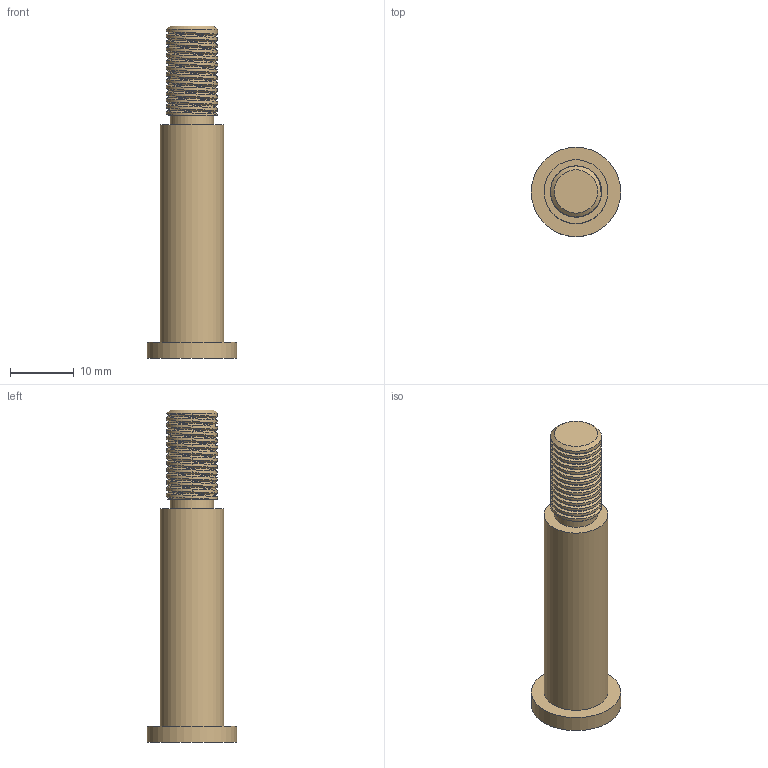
import cadquery as cq

total_length = 52.0

head_diameter = 14.0
head_height = 2.5

shank_diameter = 10.0
shank_length = 34.0

neck_diameter = 6.8
neck_length = 1.5

thread_diameter = 8.0
tip_diameter = 6.8
tip_chamfer_height = 0.5

thread_pitch = 1.0
groove_depth = 0.35
groove_mouth_width = 0.55
groove_root_width = 0.15
groove_end_depth = 0.6
groove_turns = 14
groove_overshoot = 0.1

shank_top = head_height + shank_length
thread_bottom = shank_top + neck_length
thread_radius = thread_diameter / 2


def make_blank():
    """Revolve the half outline, drawn on the -X side, about the Z axis."""
    outline = (
        cq.Workplane("XZ")
        .moveTo(0, 0)
        .lineTo(-head_diameter / 2, 0)
        .lineTo(-head_diameter / 2, head_height)
        .lineTo(-shank_diameter / 2, head_height)
        .lineTo(-shank_diameter / 2, shank_top)
        .lineTo(-neck_diameter / 2, shank_top)
        .lineTo(-neck_diameter / 2, thread_bottom)
        .lineTo(-thread_radius, thread_bottom)
        .lineTo(-thread_radius, total_length - tip_chamfer_height)
        .lineTo(-tip_diameter / 2, total_length)
        .lineTo(0, total_length)
        .close()
    )
    return outline.revolve(360, (0, 0), (0, 1))


def make_groove_cutter():
    """Sweep a trapezoid, narrow at the root, along a left-hand helix."""
    root_radius = thread_radius - groove_depth
    outer_radius = thread_radius + groove_overshoot
    flank_slope = (groove_mouth_width - groove_root_width) / 2 / groove_depth
    half_root = groove_root_width / 2
    half_outer = groove_mouth_width / 2 + flank_slope * groove_overshoot
    start_height = total_length - groove_end_depth - thread_pitch * groove_turns

    helix = cq.Wire.makeHelix(
        thread_pitch,
        thread_pitch * groove_turns,
        thread_radius,
        center=cq.Vector(0, 0, start_height),
        lefthand=True,
    )
    section = (
        cq.Workplane("XZ", origin=(0, 0, start_height))
        .moveTo(root_radius, -half_root)
        .lineTo(outer_radius, -half_outer)
        .lineTo(outer_radius, half_outer)
        .lineTo(root_radius, half_root)
        .close()
    )
    return section.sweep(cq.Workplane(helix), isFrenet=True)


result = make_blank().cut(make_groove_cutter())